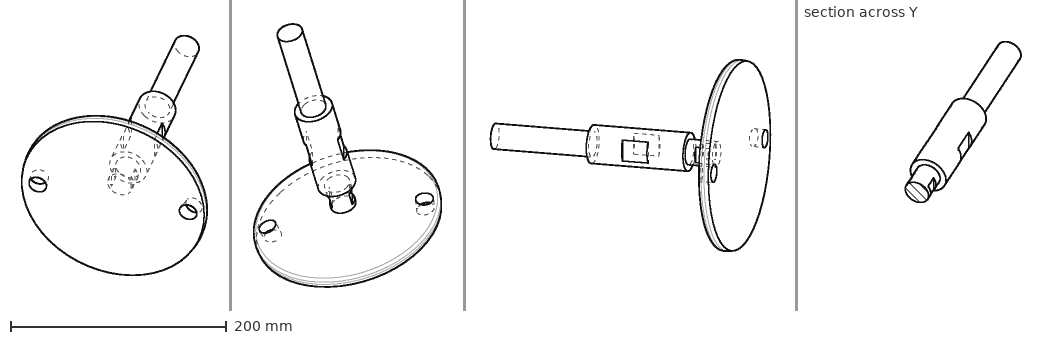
import cadquery as cq
import math

foot_diameter = 178.0
underside_diameter = 176.6
rim_taper_height = 4.3
rim_top = 9.5
rim_fillet = 3.0
foot_height = 22.5

hole_diameter = 16.5
hole_spacing = 145.5

rod_diameter = 24.0
collar_diameter = 36.0
collar_start = 49.2
collar_length = 94.8
total_length = 240.0

neck_flat_start = 27.0
neck_flat_length = 12.7
neck_across_flats = 19.0
collar_flat_start = 84.5
collar_flat_length = 25.0
collar_across_flats = 30.0

base_y = -total_length / 2
cone_angle = math.degrees(math.atan2(foot_height - rim_top, (foot_diameter - rod_diameter) / 2))


def cylinder_along_y(diameter, start, length):
    """Round bar on the part axis, starting at a height above the underside."""
    plane = cq.Plane(origin=(0, base_y + start, 0), xDir=(1, 0, 0), normal=(0, 1, 0))
    return cq.Workplane(plane).circle(diameter / 2).extrude(length)


def fixing_hole(side):
    """Cutter for one hole, leaning outward so that it is square to the cone."""
    drill_length = 2 * foot_height
    lean = math.radians(cone_angle)
    direction = cq.Vector(side * math.sin(lean), math.cos(lean), 0)
    center = cq.Vector(side * hole_spacing / 2, base_y, 0)
    start = center - direction * (drill_length / 2)
    return cq.Workplane(cq.Solid.makeCylinder(hole_diameter / 2, drill_length, start, direction))


def make_foot():
    foot = (
        cq.Workplane("XY")
        .moveTo(0, base_y)
        .lineTo(underside_diameter / 2, base_y)
        .lineTo(foot_diameter / 2, base_y + rim_taper_height)
        .lineTo(foot_diameter / 2, base_y + rim_top)
        .lineTo(rod_diameter / 2, base_y + foot_height)
        .lineTo(0, base_y + foot_height)
        .close()
        .revolve(360, (0, 0, 0), (0, 1, 0))
    )
    rim_edge = cq.selectors.BoxSelector(
        (-foot_diameter, base_y + rim_top - rim_fillet, -foot_diameter),
        (foot_diameter, base_y + rim_top + rim_fillet, foot_diameter),
        boundingbox=True,
    )
    foot = foot.edges(rim_edge).fillet(rim_fillet)
    for side in (-1, 1):
        foot = foot.cut(fixing_hole(side))
    return foot


def cut_wrench_flats(body, start, length, across_flats):
    """Mill two opposite flats that leave the given width along X."""
    cutter_size = collar_diameter
    for side in (-1, 1):
        center_x = side * (across_flats + cutter_size) / 2
        cutter = cq.Workplane("XY").box(cutter_size, length, cutter_size)
        body = body.cut(cutter.translate((center_x, base_y + start + length / 2, 0)))
    return body


def make_spindle():
    rod = cylinder_along_y(rod_diameter, foot_height, total_length - foot_height)
    spindle = rod.union(cylinder_along_y(collar_diameter, collar_start, collar_length))
    spindle = cut_wrench_flats(spindle, neck_flat_start, neck_flat_length, neck_across_flats)
    return cut_wrench_flats(spindle, collar_flat_start, collar_flat_length, collar_across_flats)


foot = make_foot()
spindle = make_spindle()

result = cq.Compound.makeCompound([foot.solids().val(), spindle.solids().val()])